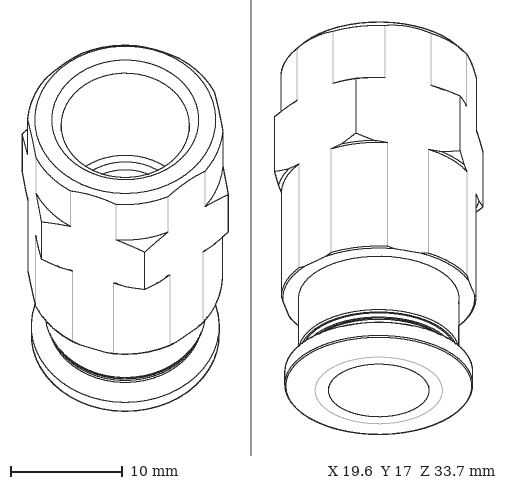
import cadquery as cq
import math

total_height = 33.7
hex_across_flats = 17.0
hex_across_corners = hex_across_flats / math.cos(math.radians(30))

button_face_diameter = 11.4
button_diameter = 16.8
button_rim_diameter = 16.6
button_rim_z = 0.47
button_edge_z = 0.6
button_top_z = 2.0
neck_diameter = 11.4
neck_flare = 0.25
neck_flare_top_z = 2.43

collar_diameter = 13.8
collar_bottom_z = 2.93
collar_top_z = 3.25
groove_diameter = 13.4
groove_top_z = 3.47
collar_step_z = 3.9

sleeve_diameter = 14.35
sleeve_bottom_z = 4.08
sleeve_bottom_chamfer = 0.15

body_bottom_z = 9.67
body_bottom_chamfer = 0.15
lower_turned_diameter = 17.42
wrench_bottom_z = 20.7
wrench_shoulder_diameter = 18.13
wrench_top_z = 27.45
upper_turned_diameter = 17.52
top_face_diameter = 16.18
top_chamfer_height = 0.78
wrench_chamfer_slope = math.tan(math.radians(30))

entry_diameter = 13.15
socket_diameter = 11.45
socket_depth = 13.48
seat_diameter = 10.0
through_diameter = 9.0


def revolve_profile(points):
    """Revolve (diameter, z) points around Z, closing the profile along the axis."""
    outline = [(diameter / 2, z) for diameter, z in points]
    closed = [(0, outline[0][1])] + outline + [(0, outline[-1][1])]
    return cq.Workplane("XZ").polyline(closed).close().revolve(360, (0, 0, 0), (0, 1, 0))


def make_button_and_sleeve():
    return revolve_profile([
        (button_face_diameter, 0),
        (button_rim_diameter, button_rim_z),
        (button_diameter, button_edge_z),
        (button_diameter, button_top_z),
        (neck_diameter + 2 * neck_flare, button_top_z),
        (neck_diameter, neck_flare_top_z),
        (neck_diameter, collar_bottom_z),
        (collar_diameter, collar_bottom_z),
        (collar_diameter, collar_top_z),
        (groove_diameter, collar_top_z),
        (groove_diameter, groove_top_z),
        (collar_diameter, groove_top_z),
        (collar_diameter, collar_step_z),
        (sleeve_diameter - 2 * sleeve_bottom_chamfer, collar_step_z),
        (sleeve_diameter, sleeve_bottom_z),
        (sleeve_diameter, body_bottom_z),
    ])


def make_hex_body():
    """Hexagonal bar trimmed by the turned envelope, leaving the wrench corners."""
    bar = (
        cq.Workplane("XY", origin=(0, 0, body_bottom_z))
        .polygon(6, hex_across_corners)
        .extrude(total_height - body_bottom_z)
    )
    lower_cone_rise = (hex_across_corners - wrench_shoulder_diameter) / 2 * wrench_chamfer_slope
    upper_cone_drop = (hex_across_corners - upper_turned_diameter) / 2 * wrench_chamfer_slope
    envelope = revolve_profile([
        (lower_turned_diameter - 2 * body_bottom_chamfer, body_bottom_z),
        (lower_turned_diameter, body_bottom_z + body_bottom_chamfer),
        (lower_turned_diameter, wrench_bottom_z),
        (wrench_shoulder_diameter, wrench_bottom_z),
        (hex_across_corners, wrench_bottom_z + lower_cone_rise),
        (hex_across_corners, wrench_top_z - upper_cone_drop),
        (upper_turned_diameter, wrench_top_z),
        (upper_turned_diameter, total_height - top_chamfer_height),
        (top_face_diameter, total_height),
    ])
    return bar.intersect(envelope)


def make_bore():
    """Through hole with a chamfered seat, opening into a countersunk socket."""
    entry_depth = (entry_diameter - socket_diameter) / 2
    seat_z = total_height - socket_depth
    seat_chamfer = (seat_diameter - through_diameter) / 2
    return revolve_profile([
        (through_diameter, 0),
        (through_diameter, seat_z - seat_chamfer),
        (seat_diameter, seat_z),
        (socket_diameter, seat_z),
        (socket_diameter, total_height - entry_depth),
        (entry_diameter, total_height),
    ])


result = make_button_and_sleeve().union(make_hex_body()).cut(make_bore())